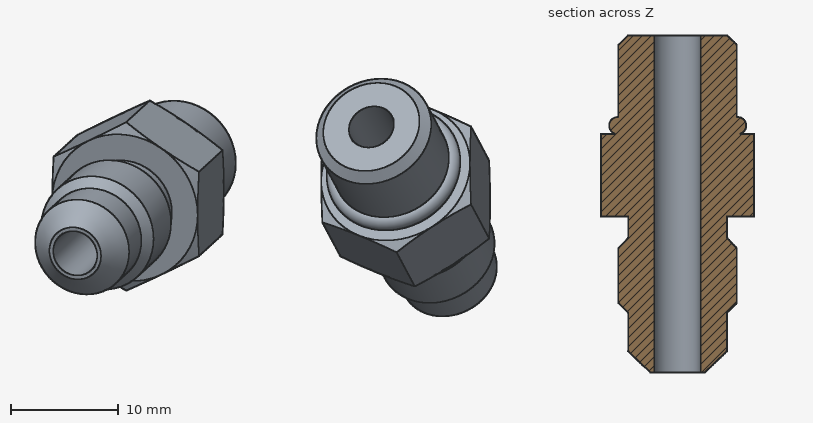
import cadquery as cq
import math

overall_length = 31.24
thread_diameter = 11.0
neck_diameter = 9.2
nose_tip_diameter = 5.05
bore_diameter = 4.3

nose_cone_length = 1.98
pilot_length = 3.57
thread_lead_length = 0.87
flare_thread_length = 5.1
thread_runout_length = 0.95
neck_length = 1.97

hex_sides = 6
across_flats = 14.22
hex_length = 7.66
hex_chamfer_angle = 20.0

ring_outer_diameter = 12.74
ring_section_diameter = 1.6
ring_squeeze = 0.02

pilot_start = nose_cone_length
lead_start = pilot_start + pilot_length
flare_thread_start = lead_start + thread_lead_length
runout_start = flare_thread_start + flare_thread_length
neck_start = runout_start + thread_runout_length
hex_start = neck_start + neck_length
hex_end = hex_start + hex_length
port_chamfer_start = overall_length - thread_lead_length

thread_radius = thread_diameter / 2
neck_radius = neck_diameter / 2
nose_tip_radius = nose_tip_diameter / 2
hex_inner_radius = across_flats / 2
hex_corner_radius = hex_inner_radius / math.cos(math.pi / hex_sides)


def revolve_about_y(outline):
    """Close a (radius, y) outline and revolve it a full turn about the Y axis."""
    return cq.Workplane("XY").polyline(outline).close().revolve(360, (0, 0, 0), (0, 1, 0))


def make_turned_body():
    """Flare nose, both threaded lengths and the necks, all turned about Y."""
    return revolve_about_y([
        (0, 0),
        (nose_tip_radius, 0),
        (neck_radius, pilot_start),
        (neck_radius, lead_start),
        (thread_radius, flare_thread_start),
        (thread_radius, runout_start),
        (neck_radius, neck_start),
        (neck_radius, hex_end),
        (thread_radius, hex_end),
        (thread_radius, port_chamfer_start),
        (neck_radius, overall_length),
        (0, overall_length),
    ])


def make_hexagon():
    """Hexagon with corners on +Z and -Z, its end corners chamfered by a cone."""
    corner_circle_diameter = 2 * hex_corner_radius
    prism = (
        cq.Workplane("XZ", origin=(0, hex_end, 0))
        .transformed(rotate=(0, 0, 90))
        .polygon(hex_sides, corner_circle_diameter)
        .extrude(hex_length)
    )
    corner_drop = (hex_corner_radius - hex_inner_radius) * math.tan(math.radians(hex_chamfer_angle))
    chamfer_envelope = revolve_about_y([
        (0, hex_start),
        (hex_inner_radius, hex_start),
        (hex_corner_radius, hex_start + corner_drop),
        (hex_corner_radius, hex_end - corner_drop),
        (hex_inner_radius, hex_end),
        (0, hex_end),
    ])
    return prism.intersect(chamfer_envelope)


def make_sealing_ring():
    """Round-section ring seated on the port-side face of the hexagon."""
    section_radius = ring_section_diameter / 2
    ring_radius = ring_outer_diameter / 2 - section_radius
    ring_station = hex_end + section_radius - ring_squeeze
    return (
        cq.Workplane("XY")
        .center(ring_radius, ring_station)
        .circle(section_radius)
        .revolve(360, (-ring_radius, 0, 0), (-ring_radius, 1, 0))
    )


def make_bore():
    """Straight bore through the whole length."""
    bore_radius = bore_diameter / 2
    return cq.Workplane("XZ").circle(bore_radius).extrude(-overall_length)


body = make_turned_body().union(make_hexagon()).union(make_sealing_ring()).cut(make_bore())

result = body.translate((0, -overall_length / 2, 0))